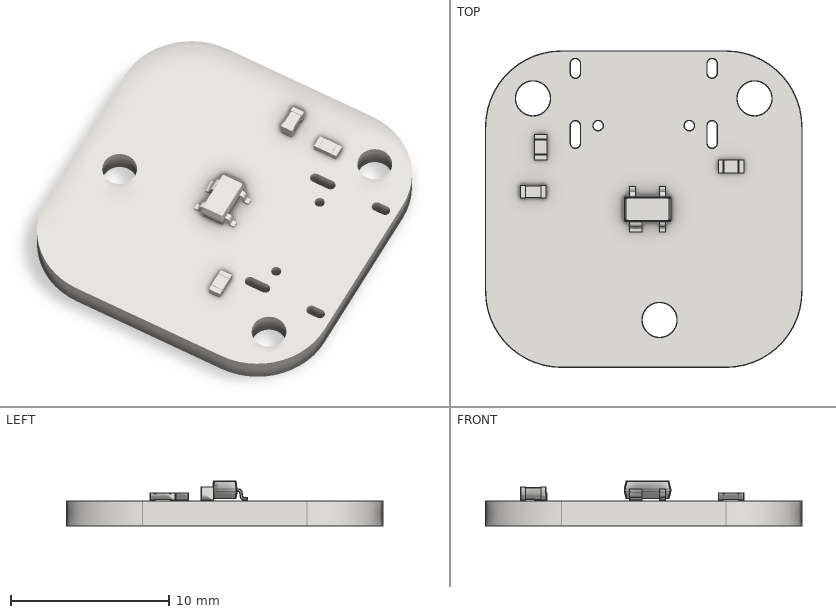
import cadquery as cq
import math

BOARD_SIZE = 20.0
BOARD_THICKNESS = 1.6
BOARD_CORNER_RADIUS = 4.8
OVERALL_HEIGHT = 2.85

SOLDER_GAP = 0.05

MOUNT_HOLE_DIAMETER = 2.2
MOUNT_HOLE_CENTERS = [(-7.0, 7.0), (7.0, 7.0), (1.0, -7.0)]
PEG_HOLE_DIAMETER = 0.65
PEG_HOLE_X = 2.88
PEG_HOLE_Y = 5.28
SLOT_WIDTH = 0.65
SLOT_X = 4.32
REAR_SLOT_LENGTH = 1.25
REAR_SLOT_Y = 8.9
FRONT_SLOT_LENGTH = 1.75
FRONT_SLOT_Y = 4.72

CHIP_LENGTH = 1.6
CHIP_WIDTH = 0.8
TERMINAL_LENGTH = 0.3

CAPACITOR_HEIGHT = 0.85
CAPACITOR_CENTER = (-6.98, 1.1)
END_CAP_OVERLAP = 0.05

RESISTOR_HEIGHT = 0.45
RESISTOR_PLACES = [(-6.5, 3.92, 90.0), (5.52, 2.7, 0.0)]
PLATING = 0.05
COATING_GAP = 0.05

IC_CENTER = (0.25, 0.0)
PACKAGE_LENGTH = 2.95
PACKAGE_WIDTH = 1.55
PACKAGE_END_TAPER = 0.12
PACKAGE_SIDE_TAPER = 0.07
PACKAGE_CORNER_CUT = 0.05
PACKAGE_STANDOFF = 0.1
PACKAGE_TOP = OVERALL_HEIGHT - BOARD_THICKNESS - SOLDER_GAP

LEAD_THICKNESS = 0.15
LEAD_TOP = 0.72
LEAD_SPAN = 2.85
LEAD_KNEE_Y = 1.0
LEAD_HEEL_Y = 1.08
LEAD_BEND_RADIUS = 0.18
LEAD_WIDTH = 0.38
WIDE_LEAD_WIDTH = 0.8
LEAD_X = 0.95
LEAD_EMBED = 0.1


def make_board():
    """Rounded square board with mounting holes, connector peg holes and slots."""
    board = (
        cq.Workplane("XY")
        .rect(BOARD_SIZE, BOARD_SIZE)
        .extrude(BOARD_THICKNESS)
        .edges("|Z")
        .fillet(BOARD_CORNER_RADIUS)
    )
    peg_centers = [(side * PEG_HOLE_X, PEG_HOLE_Y) for side in (-1, 1)]
    mount_holes = cq.Workplane("XY").pushPoints(MOUNT_HOLE_CENTERS).circle(MOUNT_HOLE_DIAMETER / 2)
    peg_holes = cq.Workplane("XY").pushPoints(peg_centers).circle(PEG_HOLE_DIAMETER / 2)
    board = board.cut(mount_holes.extrude(BOARD_THICKNESS))
    board = board.cut(peg_holes.extrude(BOARD_THICKNESS))
    for slot_y, slot_length in ((REAR_SLOT_Y, REAR_SLOT_LENGTH), (FRONT_SLOT_Y, FRONT_SLOT_LENGTH)):
        slot_centers = [(side * SLOT_X, slot_y) for side in (-1, 1)]
        slots = cq.Workplane("XY").pushPoints(slot_centers).slot2D(slot_length, SLOT_WIDTH, 90)
        board = board.cut(slots.extrude(BOARD_THICKNESS))
    return board


def make_block(length, width, bottom, top, center_x=0.0):
    """Plain block between two heights, centred on Y."""
    return (
        cq.Workplane("XY", origin=(center_x, 0, bottom))
        .rect(length, width)
        .extrude(top - bottom)
    )


def place_on_board(component, x, y, angle=0.0):
    """Turn a component about its own Z axis and set it just above the board's top face."""
    return component.rotate((0, 0, 0), (0, 0, 1), angle).translate((x, y, BOARD_THICKNESS + SOLDER_GAP))


def make_capacitor():
    """Ceramic block with an end cap on each end that stands slightly proud all round."""
    capacitor = make_block(
        CHIP_LENGTH - 2 * END_CAP_OVERLAP,
        CHIP_WIDTH - 2 * END_CAP_OVERLAP,
        END_CAP_OVERLAP,
        CAPACITOR_HEIGHT - END_CAP_OVERLAP,
    )
    for side in (-1, 1):
        cap_x = side * (CHIP_LENGTH - TERMINAL_LENGTH) / 2
        end_cap = make_block(TERMINAL_LENGTH, CHIP_WIDTH, 0, CAPACITOR_HEIGHT, cap_x)
        capacitor = capacitor.union(end_cap)
    return capacitor


def make_resistor():
    """Flat ceramic with plated terminals wrapped round both ends and a coating on top between them."""
    ceramic_top = RESISTOR_HEIGHT - PLATING
    resistor = make_block(CHIP_LENGTH - 2 * PLATING, CHIP_WIDTH, PLATING, ceramic_top)
    for side in (-1, 1):
        terminal_x = side * (CHIP_LENGTH - TERMINAL_LENGTH) / 2
        terminal = make_block(TERMINAL_LENGTH, CHIP_WIDTH, 0, RESISTOR_HEIGHT, terminal_x)
        resistor = resistor.union(terminal)
    coating_length = CHIP_LENGTH - 2 * (TERMINAL_LENGTH + COATING_GAP)
    coating = make_block(coating_length, CHIP_WIDTH, ceramic_top, RESISTOR_HEIGHT)
    return resistor.union(coating)


def package_outline(sketch, inset_x=0.0, inset_y=0.0):
    """Package rectangle with cut corners, drawn in by an inset at each end and side."""
    half_x = PACKAGE_LENGTH / 2 - inset_x
    half_y = PACKAGE_WIDTH / 2 - inset_y
    cut_x = half_x - PACKAGE_CORNER_CUT
    cut_y = half_y - PACKAGE_CORNER_CUT
    points = [
        (-cut_x, -half_y),
        (cut_x, -half_y),
        (half_x, -cut_y),
        (half_x, cut_y),
        (cut_x, half_y),
        (-cut_x, half_y),
        (-half_x, cut_y),
        (-half_x, -cut_y),
    ]
    return sketch.polyline(points).close()


def make_package():
    """Moulded body: an upright band at lead height, tapering above and below it."""
    band_bottom = LEAD_TOP - LEAD_THICKNESS
    band_plane = cq.Workplane("XY", origin=(0, 0, band_bottom))
    package = package_outline(band_plane).extrude(LEAD_THICKNESS)
    for start, end in ((band_bottom, PACKAGE_STANDOFF), (LEAD_TOP, PACKAGE_TOP)):
        base = package_outline(cq.Workplane("XY", origin=(0, 0, start)))
        end_plane = base.workplane(offset=end - start)
        outlines = package_outline(end_plane, PACKAGE_END_TAPER, PACKAGE_SIDE_TAPER)
        package = package.union(outlines.loft(ruled=True))
    return package


def make_lead(start_x, side, width):
    """Gull-wing lead leaving the package toward side * Y, with both bends rounded."""
    inner_y = PACKAGE_WIDTH / 2 - LEAD_EMBED
    tip_y = LEAD_SPAN / 2
    knee = cq.Vector(LEAD_KNEE_Y, LEAD_TOP - LEAD_THICKNESS / 2)
    heel = cq.Vector(LEAD_HEEL_Y, LEAD_THICKNESS / 2)
    leg = (heel - knee).normalized()
    bend_angle = cq.Vector(1, 0).getAngle(leg)
    setback = LEAD_BEND_RADIUS * math.tan(bend_angle / 2)
    centre_line = (
        cq.Workplane("YZ")
        .moveTo(inner_y, knee.y)
        .lineTo(knee.x - setback, knee.y)
        .tangentArcPoint((knee + leg * setback).toTuple()[:2], relative=False)
        .lineTo(*(heel - leg * setback).toTuple()[:2])
        .tangentArcPoint((heel.x + setback, heel.y), relative=False)
        .lineTo(tip_y, heel.y)
    )
    lead = (
        cq.Workplane("XZ", origin=(0, inner_y, 0))
        .center(width / 2, knee.y)
        .rect(width, LEAD_THICKNESS)
        .sweep(centre_line)
    )
    if side < 0:
        lead = lead.mirror("XZ")
    return lead.translate((start_x, 0, 0))


def make_ic():
    """Package with four leads; the front-left lead is wider than the others, extending inward."""
    ic = make_package()
    for side, left_width in ((-1, WIDE_LEAD_WIDTH), (1, LEAD_WIDTH)):
        ic = ic.union(make_lead(-LEAD_X - LEAD_WIDTH / 2, side, left_width))
        ic = ic.union(make_lead(LEAD_X - LEAD_WIDTH / 2, side, LEAD_WIDTH))
    return ic


board = make_board()
capacitor = place_on_board(make_capacitor(), *CAPACITOR_CENTER)
resistors = [place_on_board(make_resistor(), x, y, angle) for x, y, angle in RESISTOR_PLACES]
ic = place_on_board(make_ic(), *IC_CENTER)

result = cq.Compound.makeCompound(
    [board.val(), capacitor.val(), *[resistor.val() for resistor in resistors], ic.val()]
)